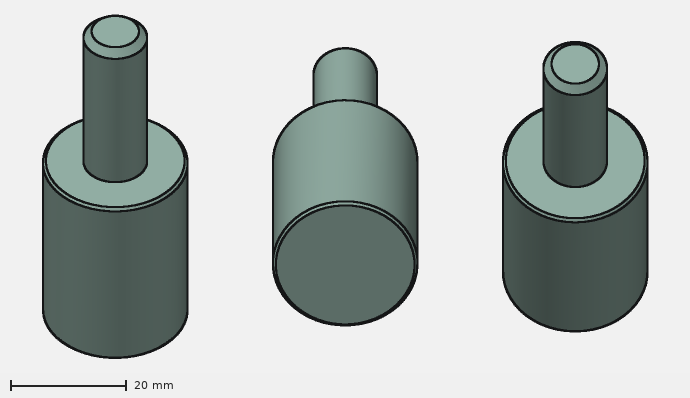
import cadquery as cq

total_height = 65.0
body_diameter = 25.0
body_height = 35.0
body_chamfer = 0.5

stud_diameter = 11.05
stud_chamfer = 1.4
stud_length = total_height - body_height

body = (
    cq.Workplane("XY")
    .circle(body_diameter / 2)
    .extrude(body_height)
    .edges()
    .chamfer(body_chamfer)
)

stud = (
    cq.Workplane("XY")
    .workplane(offset=body_height)
    .circle(stud_diameter / 2)
    .extrude(stud_length)
    .faces(">Z")
    .edges()
    .chamfer(stud_chamfer)
)

result = body.union(stud)